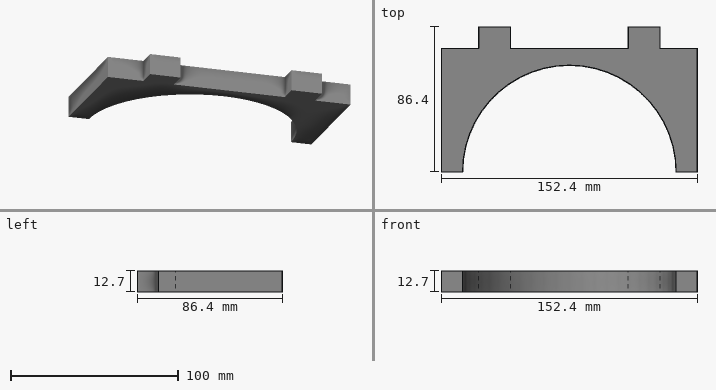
import cadquery as cq

plate_width = 152.4
thickness = 12.7

leg_width = 12.7
opening_radius = plate_width / 2 - leg_width
web_height = 10.16
plate_depth = opening_radius + web_height

tab_width = 19.05
tab_length = 12.7
tab_spacing = 88.9


def make_plate():
    """Rectangular plate with its front edge on Y = 0."""
    return cq.Workplane("XY").box(plate_width, plate_depth, thickness, centered=(True, False, False))


def make_tab(center_x):
    """Rectangular tab standing out from the back edge."""
    tab = cq.Workplane("XY").box(tab_width, tab_length, thickness, centered=(True, False, False))
    return tab.translate((center_x, plate_depth, 0))


def make_opening():
    """Cylinder whose back half cuts the arch between the two legs."""
    return cq.Workplane("XY").circle(opening_radius).extrude(thickness)


result = make_plate()
for side in (-1, 1):
    result = result.union(make_tab(side * tab_spacing / 2))
result = result.cut(make_opening())